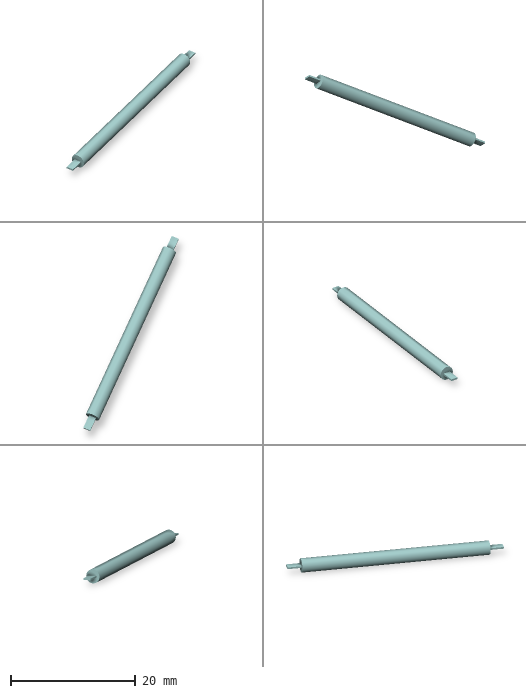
import cadquery as cq

overall_length = 35.6
body_diameter = 2.3
tab_length = 2.3
tab_width = 1.2
tab_thickness = 0.3

body_length = overall_length - 2 * tab_length


def make_body():
    """Round body lying along Y, with plain flat ends."""
    return (
        cq.Workplane("XZ", origin=(0, body_length / 2, 0))
        .circle(body_diameter / 2)
        .extrude(body_length)
    )


def make_tab(end):
    """Flat terminal tab on one end face; end is -1 or +1 along Y."""
    centre_y = end * (body_length + tab_length) / 2
    return (
        cq.Workplane("XY")
        .box(tab_width, tab_length, tab_thickness)
        .translate((0, centre_y, 0))
    )


body = make_body()
tabs = [make_tab(end) for end in (-1, 1)]

result = cq.Compound.makeCompound([body.val(), *[tab.val() for tab in tabs]])